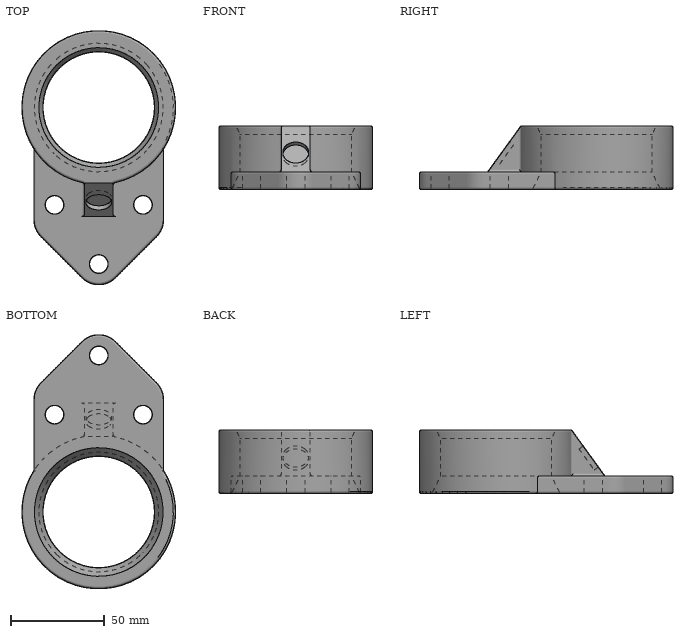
import cadquery as cq
import math

total_length = 136.5
height = 34.2
ring_diameter = 82.5
ring_radius = ring_diameter / 2
bore_radius = 29.9
bore_taper = math.radians(26)
top_taper_depth = 4.6
bottom_taper_depth = 9.5
edge_round = 1.2

plate_thickness = 9.5
plate_half_width = 34.8
plate_tip_y = ring_radius - total_length
plate_corner_radius = 12.5
screw_hole_radius = 4.9
side_hole_x = 23.7
side_hole_y = -52.3
tip_hole_y = -84.0

rib_half_width = 7.8
rib_top_y = -40.5
rib_foot_y = -58.4
rib_fillet = 1.1
block_overrun = 5.5
block_front_y = rib_foot_y - block_overrun
selection_margin = 0.1
recess_radius = 7.0
recess_depth = 2.7
recess_z = 19.9


def make_plate():
    """Pointed plate with the same radius at both side corners and at the tip."""
    tip_arc_y = plate_tip_y + plate_corner_radius
    sharp_tip_y = tip_arc_y - plate_corner_radius * math.sqrt(2)
    sharp_corner_y = sharp_tip_y + plate_half_width
    return (
        cq.Workplane("XY")
        .moveTo(-plate_half_width, 0)
        .lineTo(-plate_half_width, sharp_corner_y)
        .lineTo(0, sharp_tip_y)
        .lineTo(plate_half_width, sharp_corner_y)
        .lineTo(plate_half_width, 0)
        .close()
        .extrude(plate_thickness)
        .edges("|Z")
        .edges("not >Y")
        .fillet(plate_corner_radius)
        .faces(">Z")
        .edges("not >Y")
        .fillet(edge_round)
    )


def make_bore():
    """Through bore opening in a cone at each end."""
    top_radius = bore_radius + top_taper_depth * math.tan(bore_taper)
    bottom_radius = bore_radius + bottom_taper_depth * math.tan(bore_taper)
    return (
        cq.Workplane("XZ")
        .moveTo(0, 0)
        .lineTo(bottom_radius, 0)
        .lineTo(bore_radius, bottom_taper_depth)
        .lineTo(bore_radius, height - top_taper_depth)
        .lineTo(top_radius, height)
        .lineTo(0, height)
        .close()
        .revolve(360, (0, 0, 0), (0, 1, 0))
    )


def make_rib_block():
    """Full-height block, longer than the finished rib, rooted in the ring and plate."""
    root_y = -(ring_radius + bore_radius) / 2
    root_z = plate_thickness / 2
    return cq.Workplane("XY").box(
        2 * rib_half_width, root_y - block_front_y, height - root_z, centered=False
    ).translate((-rib_half_width, block_front_y, root_z))


def make_slope_cutter():
    """Space above the sloping rib face, as wide as the rib with its side fillets."""
    return (
        cq.Workplane("YZ")
        .moveTo(rib_top_y, height)
        .lineTo(rib_foot_y, plate_thickness)
        .lineTo(block_front_y - rib_fillet, plate_thickness)
        .lineTo(block_front_y - rib_fillet, height)
        .close()
        .extrude(rib_half_width + rib_fillet, both=True)
    )


def make_recess():
    """Shallow round pocket, square to the sloping rib face."""
    run = rib_top_y - rib_foot_y
    rise = height - plate_thickness
    center_y = rib_foot_y + run * (recess_z - plate_thickness) / rise
    slope_plane = cq.Plane((0, center_y, recess_z), (1, 0, 0), (0, -rise, run))
    return cq.Workplane(slope_plane).circle(recess_radius).extrude(-recess_depth)


ring = cq.Workplane("XY").circle(ring_radius).extrude(height)
body = ring.union(make_plate()).faces("<Z").edges().fillet(edge_round)
body = body.union(make_rib_block())

joint_box = cq.selectors.BoxSelector(
    (-rib_half_width - selection_margin, block_front_y, plate_thickness - selection_margin),
    (rib_half_width + selection_margin, rib_top_y, height - edge_round),
)
inside_corners = [
    edge
    for edge in body.edges("|Y or |Z").edges(joint_box).vals()
    if edge.Center().y > block_front_y + rib_fillet
]
body = body.newObject(inside_corners).fillet(rib_fillet)
body = body.faces(">Z").edges().fillet(edge_round)
body = body.cut(make_slope_cutter())

screw_holes = (
    cq.Workplane("XY")
    .pushPoints([(-side_hole_x, side_hole_y), (side_hole_x, side_hole_y), (0, tip_hole_y)])
    .circle(screw_hole_radius)
    .extrude(plate_thickness)
)
result = body.cut(make_bore()).cut(screw_holes).cut(make_recess())